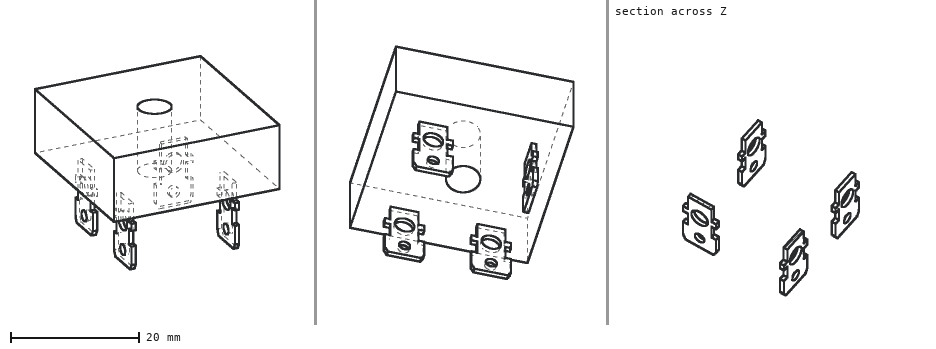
import cadquery as cq

BODY_SIDE = 28.6
BODY_HEIGHT = 10.95
TOTAL_HEIGHT = 22.0
MOUNT_HOLE_DIAMETER = 5.35
MOUNT_HOLE_OFFSET = -0.31

BLADE_LENGTH = TOTAL_HEIGHT - BODY_HEIGHT
BLADE_THICKNESS = 0.77
BLADE_WIDTH = 6.35
NECK_WIDTH = 4.5
LUG_TOP_DEPTH = 3.03
LUG_HEIGHT = 1.23
TIP_TOP_DEPTH = 6.92
TIP_CHAMFER_WIDTH = 0.5
TIP_CHAMFER_HEIGHT = 0.95
LARGE_HOLE_DIAMETER = 3.12
LARGE_HOLE_DEPTH = 3.78
SMALL_HOLE_DIAMETER = 1.77
SMALL_HOLE_DEPTH = 8.75

PARALLEL_X = 6.98
PARALLEL_Y = 8.93
TURNED_X = -9.18
TURNED_Y = 7.2


def make_terminal():
    """Blade lying along X, with its top centre at the origin."""
    half_neck = NECK_WIDTH / 2
    half_blade = BLADE_WIDTH / 2
    lug_bottom_depth = LUG_TOP_DEPTH + LUG_HEIGHT
    right_side = [
        (half_neck, 0),
        (half_neck, -LUG_TOP_DEPTH),
        (half_blade, -LUG_TOP_DEPTH),
        (half_blade, -lug_bottom_depth),
        (half_neck, -lug_bottom_depth),
        (half_neck, -TIP_TOP_DEPTH),
        (half_blade, -TIP_TOP_DEPTH),
        (half_blade, TIP_CHAMFER_HEIGHT - BLADE_LENGTH),
        (half_blade - TIP_CHAMFER_WIDTH, -BLADE_LENGTH),
    ]
    left_side = [(-x, z) for x, z in reversed(right_side)]
    blade = (
        cq.Workplane("XZ")
        .polyline(right_side + left_side)
        .close()
        .extrude(BLADE_THICKNESS / 2, both=True)
    )
    holes = [(LARGE_HOLE_DIAMETER, LARGE_HOLE_DEPTH), (SMALL_HOLE_DIAMETER, SMALL_HOLE_DEPTH)]
    for diameter, depth in holes:
        cutter = (
            cq.Workplane("XZ")
            .center(0, -depth)
            .circle(diameter / 2)
            .extrude(BLADE_THICKNESS, both=True)
        )
        blade = blade.cut(cutter)
    return blade


def make_body():
    """Block with its underside at Z = 0 and an off-centre through hole."""
    return (
        cq.Workplane("XY")
        .box(BODY_SIDE, BODY_SIDE, BODY_HEIGHT, centered=(True, True, False))
        .faces(">Z")
        .workplane(origin=(MOUNT_HOLE_OFFSET, MOUNT_HOLE_OFFSET, BODY_HEIGHT))
        .hole(MOUNT_HOLE_DIAMETER)
    )


terminal = make_terminal()
turned_terminal = terminal.rotate((0, 0, 0), (0, 0, 1), 90)

result = make_body().union(turned_terminal.translate((TURNED_X, TURNED_Y, 0)))
for x, y in [(-PARALLEL_X, -PARALLEL_Y), (PARALLEL_X, -PARALLEL_Y), (PARALLEL_X, PARALLEL_Y)]:
    result = result.union(terminal.translate((x, y, 0)))